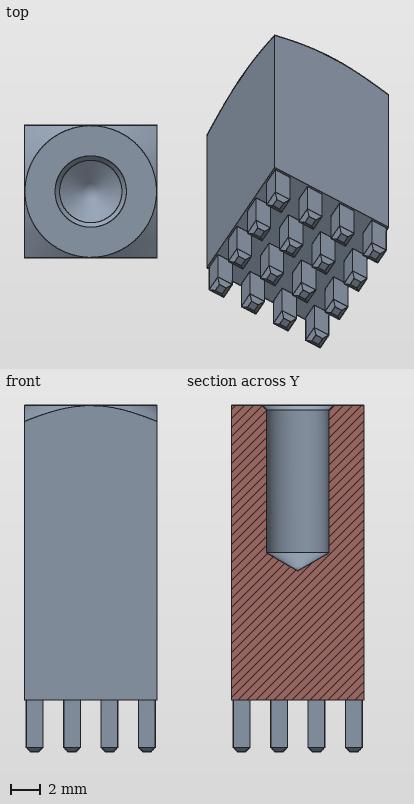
import cadquery as cq
import math

total_height = 23.5
body_width = 9.0
pin_length = 3.5
body_height = total_height - pin_length

top_face_diameter = 8.93
corner_trim_angle = 30.0

hole_diameter = 4.23
hole_depth = body_height / 2
drill_point_angle = 120.0
countersink_diameter = 4.85
countersink_angle = 90.0

pin_count = 4
pin_pitch = 2.54
pin_width = 1.15
tip_height = 0.3
tip_width = pin_width - 2 * tip_height


def make_body():
    """Square block standing on Z = 0, its upper corners trimmed by a cone."""
    block = cq.Workplane("XY").rect(body_width, body_width).extrude(body_height)

    top_radius = top_face_diameter / 2
    outer_radius = body_width
    drop = (outer_radius - top_radius) * math.tan(math.radians(corner_trim_angle))
    envelope = (
        cq.Workplane("XZ")
        .moveTo(0, 0)
        .lineTo(outer_radius, 0)
        .lineTo(outer_radius, body_height - drop)
        .lineTo(top_radius, body_height)
        .lineTo(0, body_height)
        .close()
        .revolve(360, (0, 0, 0), (0, 1, 0))
    )
    return block.intersect(envelope)


def make_hole():
    """Countersunk hole with a conical bottom, as a solid to cut away."""
    radius = hole_diameter / 2
    mouth_radius = countersink_diameter / 2
    mouth_depth = (mouth_radius - radius) / math.tan(math.radians(countersink_angle / 2))
    point_depth = radius / math.tan(math.radians(drill_point_angle / 2))
    wall_end = body_height - hole_depth
    return (
        cq.Workplane("XZ")
        .moveTo(0, body_height)
        .lineTo(mouth_radius, body_height)
        .lineTo(radius, body_height - mouth_depth)
        .lineTo(radius, wall_end)
        .lineTo(0, wall_end - point_depth)
        .close()
        .revolve(360, (0, 0, 0), (0, 1, 0))
    )


def make_pin():
    """Square pin hanging from Z = 0, with a tapered tip."""
    shank_length = pin_length - tip_height
    shank = cq.Workplane("XY").rect(pin_width, pin_width).extrude(-shank_length)
    tip = (
        cq.Workplane("XY", origin=(0, 0, -shank_length))
        .rect(pin_width, pin_width)
        .workplane(offset=-tip_height)
        .rect(tip_width, tip_width)
        .loft(ruled=True)
    )
    return shank.union(tip)


result = make_body().cut(make_hole())
pin = make_pin()
first_pin = -pin_pitch * (pin_count - 1) / 2
for column in range(pin_count):
    for row in range(pin_count):
        x = first_pin + column * pin_pitch
        y = first_pin + row * pin_pitch
        result = result.union(pin.translate((x, y, 0)))